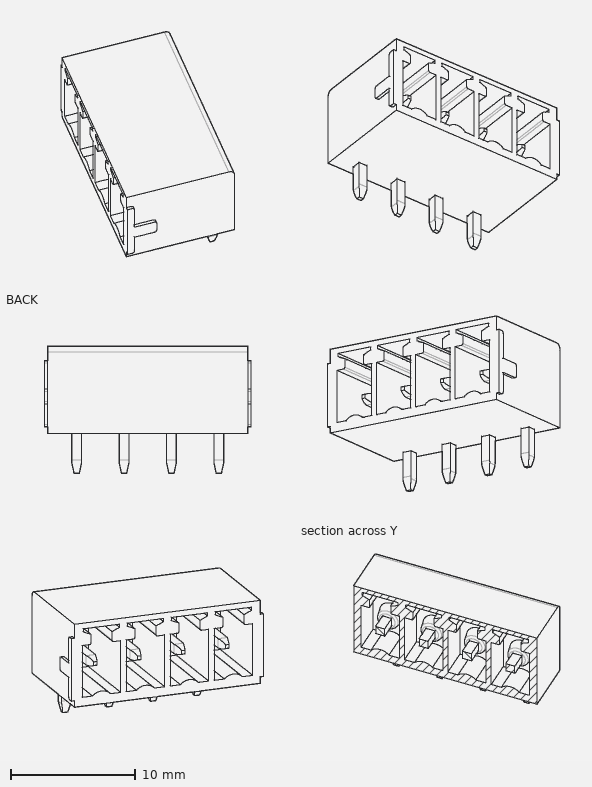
import cadquery as cq


CONTACT_COUNT = 4
PITCH = 3.8
FIRST_X = -PITCH * (CONTACT_COUNT - 1) / 2
CONTACT_X = [FIRST_X + i * PITCH for i in range(CONTACT_COUNT)]
CONTACT_Z = 3.01

OVERALL_WIDTH = 16.63
RIB_HEIGHT = 0.27
WIDTH = OVERALL_WIDTH - 2 * RIB_HEIGHT
DEPTH = 9.2
HEIGHT = 7.05
BACK_EDGE_RADIUS = 0.5

RIB_BAR_BOTTOM = 0.55
RIB_BAR_TOP = 5.87
RIB_BAR_DEPTH = 0.6
RIB_STEM_BOTTOM = 2.4
RIB_STEM_TOP = 3.6
RIB_STEM_DEPTH = 2.5
RIB_CORNER_RADIUS = 0.2

CAVITY_DEPTH = 6.98
CAVITY_HALF_WIDTH = 1.66
CAVITY_FLOOR = 0.76
SHOULDER_Z = 5.15
NECK_HALF_WIDTH = 0.91
NECK_TOP = 6.02
HEAD_HALF_WIDTH = 1.56
HEAD_BOTTOM = 6.3
HEAD_TOP = 6.57
LUG_CORNER_RADIUS = 0.13
FLOOR_BUMP_HALF_WIDTH = 0.78
FLOOR_BUMP_HEIGHT = 0.33

COLLAR_BASE_RADIUS = 1.08
COLLAR_FRONT_RADIUS = 0.86
COLLAR_LENGTH = 1.0
COLLAR_EDGE_RADIUS = 0.2

PIN_SIZE = 0.8
PIN_HALF = PIN_SIZE / 2
PIN_FRONT_Y = 1.33
PIN_LEG_Y = 8.0
PIN_BACK_Y = PIN_LEG_Y + PIN_HALF
PIN_BOTTOM_Z = -3.2
CONTACT_TIP_SIZE = 0.3
CONTACT_TAPER = 1.0
LEG_TIP_WIDTH = 0.43
LEG_FLAT_TAPER = 0.85
LEG_TIP_DEPTH = 0.33
LEG_CURVED_TAPER = 1.08


def box_between(x_range, y_range, z_range):
    """Box given by its lower and upper limit along each axis."""
    size = [upper - lower for lower, upper in (x_range, y_range, z_range)]
    return cq.Workplane("XY").box(*size, centered=False).translate((x_range[0], y_range[0], z_range[0]))


def make_block():
    """Plain block with its upper back edge rounded."""
    block = box_between((-WIDTH / 2, WIDTH / 2), (0, DEPTH), (0, HEIGHT))
    return block.edges(">Y and >Z").fillet(BACK_EDGE_RADIUS)


def make_ribs():
    """T-shaped bars through the full width, standing out at both ends of the block."""
    x_range = (-OVERALL_WIDTH / 2, OVERALL_WIDTH / 2)
    bar = box_between(x_range, (0, RIB_BAR_DEPTH), (RIB_BAR_BOTTOM, RIB_BAR_TOP))
    stem = box_between(x_range, (0, RIB_STEM_DEPTH), (RIB_STEM_BOTTOM, RIB_STEM_TOP))
    bar = bar.edges("|X and >Y").fillet(RIB_CORNER_RADIUS)
    stem = stem.edges("|X and >Y").fillet(RIB_CORNER_RADIUS)
    return bar.union(stem)


def make_cavity():
    """Keyhole-shaped space for one plug, with a rounded bump along its floor."""
    half_outline = [
        (CAVITY_HALF_WIDTH, CAVITY_FLOOR),
        (CAVITY_HALF_WIDTH, SHOULDER_Z),
        (NECK_HALF_WIDTH, SHOULDER_Z),
        (NECK_HALF_WIDTH, NECK_TOP),
        (HEAD_HALF_WIDTH, HEAD_BOTTOM),
        (HEAD_HALF_WIDTH, HEAD_TOP),
    ]
    other_half = [(-x, z) for x, z in reversed(half_outline)]
    cavity = (
        cq.Workplane("XZ")
        .moveTo(FLOOR_BUMP_HALF_WIDTH, CAVITY_FLOOR)
        .polyline(half_outline + other_half, includeCurrent=True)
        .lineTo(-FLOOR_BUMP_HALF_WIDTH, CAVITY_FLOOR)
        .threePointArc((0, CAVITY_FLOOR + FLOOR_BUMP_HEIGHT), (FLOOR_BUMP_HALF_WIDTH, CAVITY_FLOOR))
        .close()
        .extrude(-CAVITY_DEPTH)
    )
    margin = 0.02
    lug_corners = cq.selectors.BoxSelector(
        (-NECK_HALF_WIDTH - margin, 0, SHOULDER_Z - margin),
        (NECK_HALF_WIDTH + margin, CAVITY_DEPTH, SHOULDER_Z + margin),
    )
    return cavity.edges("|Y").edges(lug_corners).fillet(LUG_CORNER_RADIUS)


def make_collar():
    front_y = CAVITY_DEPTH - COLLAR_LENGTH
    collar = (
        cq.Workplane("XY")
        .polyline([
            (0, CAVITY_DEPTH),
            (COLLAR_BASE_RADIUS, CAVITY_DEPTH),
            (COLLAR_FRONT_RADIUS, front_y),
            (0, front_y),
        ])
        .close()
        .revolve(360, (0, 0, 0), (0, 1, 0))
    )
    return collar.faces("<Y").edges().fillet(COLLAR_EDGE_RADIUS).translate((0, 0, CONTACT_Z))


def make_tapered_bar(length, tip_width, flat_taper, tip_depth, curved_taper):
    """Square bar hanging down from the origin; its end has flat tapers across X and rounded ones across Y."""
    flat_outline = (
        cq.Workplane("XZ", origin=(0, PIN_HALF, 0))
        .polyline([
            (-PIN_HALF, 0),
            (-PIN_HALF, flat_taper - length),
            (-tip_width / 2, -length),
            (tip_width / 2, -length),
            (PIN_HALF, flat_taper - length),
            (PIN_HALF, 0),
        ])
        .close()
        .extrude(PIN_SIZE)
    )
    inset = (PIN_SIZE - tip_depth) / 2
    radius = (curved_taper**2 + inset**2) / (2 * inset)
    curved_outline = (
        cq.Workplane("YZ", origin=(-PIN_HALF, 0, 0))
        .moveTo(-PIN_HALF, 0)
        .lineTo(-PIN_HALF, curved_taper - length)
        .radiusArc((-tip_depth / 2, -length), -radius)
        .lineTo(tip_depth / 2, -length)
        .radiusArc((PIN_HALF, curved_taper - length), -radius)
        .lineTo(PIN_HALF, 0)
        .close()
        .extrude(PIN_SIZE)
    )
    return flat_outline.intersect(curved_outline)


def make_pin():
    """L-shaped pin: a leg down to the board and a contact reaching forward into the cavity."""
    leg = make_tapered_bar(
        CONTACT_Z - PIN_BOTTOM_Z, LEG_TIP_WIDTH, LEG_FLAT_TAPER, LEG_TIP_DEPTH, LEG_CURVED_TAPER
    )
    contact = make_tapered_bar(
        PIN_BACK_Y - PIN_FRONT_Y, CONTACT_TIP_SIZE, CONTACT_TAPER, CONTACT_TIP_SIZE, CONTACT_TAPER
    )
    leg = leg.translate((0, PIN_LEG_Y, CONTACT_Z))
    contact = contact.rotate((0, 0, 0), (1, 0, 0), -90).translate((0, PIN_BACK_Y, CONTACT_Z))
    return contact.union(leg)


def make_housing(pins):
    housing = make_block().union(make_ribs())
    cavity = make_cavity().cut(make_collar())
    for x in CONTACT_X:
        housing = housing.cut(cavity.translate((x, 0, 0)))
    for pin in pins:
        housing = housing.cut(pin)
    return housing


pin = make_pin()
pins = [pin.translate((x, 0, 0)) for x in CONTACT_X]
housing = make_housing(pins)
result = cq.Compound.makeCompound([housing.val(), *[p.val() for p in pins]])